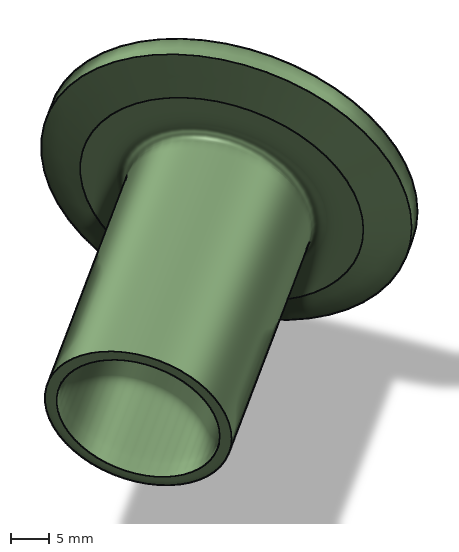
import cadquery as cq

flange_radius = 25.2
face_radius = 19.25
rim_thickness = 2.8
flange_thickness = 5.0

total_length = 44.5
tube_radius = 12.7
bore_radius = 11.1
root_fillet = 1.55


def make_flange():
    """Disc with a straight rim and a cone tapering toward the tube."""
    profile = (
        cq.Workplane("XY")
        .moveTo(0, 0)
        .lineTo(flange_radius, 0)
        .lineTo(flange_radius, -rim_thickness)
        .lineTo(face_radius, -flange_thickness)
        .lineTo(0, -flange_thickness)
        .close()
    )
    return profile.revolve(360, (0, 0, 0), (0, 1, 0))


def make_cylinder(radius):
    """Full-length cylinder from the flange back (Y = 0) toward -Y."""
    return cq.Workplane("XZ").circle(radius).extrude(total_length)


def make_root_fillet():
    """Concave ring blending the tube into the flange face."""
    outer_radius = tube_radius + root_fillet
    end_y = -flange_thickness - root_fillet
    profile = (
        cq.Workplane("XY")
        .moveTo(bore_radius, -flange_thickness)
        .lineTo(outer_radius, -flange_thickness)
        .radiusArc((tube_radius, end_y), -root_fillet)
        .lineTo(bore_radius, end_y)
        .close()
    )
    return profile.revolve(360, (0, 0, 0), (0, 1, 0))


body = make_flange().union(make_cylinder(tube_radius)).union(make_root_fillet())
result = body.cut(make_cylinder(bore_radius))